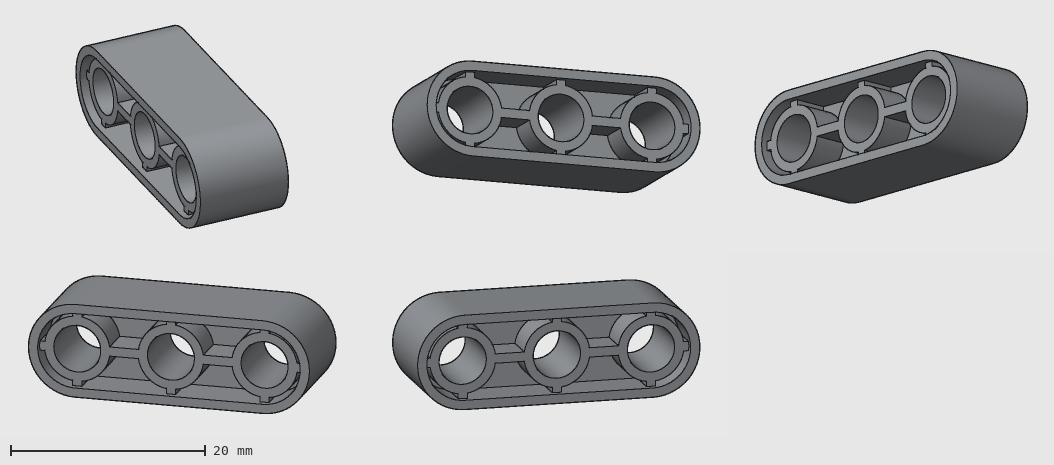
import cadquery as cq

length = 30.0
hole_count = 3
pitch = length / hole_count
width = pitch
depth = pitch
wall = 1.0
rib = 1.0
hole_diameter = 5.0
tube_diameter = 7.0
recess = 0.75
web = 1.0

cavity_length = length - 2 * wall
cavity_width = width - 2 * wall
core_depth = depth - 2 * recess
hole_centers = [((i - (hole_count - 1) / 2) * pitch, 0) for i in range(hole_count)]


def y_prism(sketch, prism_depth):
    """Extrude an XZ sketch along Y, centred on the XZ plane."""
    return sketch.extrude(prism_depth / 2, both=True)


def make_shell():
    """Rounded beam with a matching pocket in each open face, leaving a middle web."""
    beam = y_prism(cq.Workplane("XZ").slot2D(length, width), depth)
    cavity = y_prism(cq.Workplane("XZ").slot2D(cavity_length, cavity_width), depth)
    middle = cq.Workplane("XY").box(length, web, width)
    return beam.cut(cavity.cut(middle))


def make_core():
    """Tubes around the holes, tied to each other and to the wall by ribs."""
    core = y_prism(cq.Workplane("XZ").pushPoints(hole_centers).circle(tube_diameter / 2), core_depth)
    long_rib = y_prism(cq.Workplane("XZ").rect(length - wall, rib), core_depth)
    cross_ribs = y_prism(
        cq.Workplane("XZ").pushPoints(hole_centers).rect(rib, width - wall), core_depth
    )
    return core.union(long_rib).union(cross_ribs)


holes = y_prism(cq.Workplane("XZ").pushPoints(hole_centers).circle(hole_diameter / 2), depth)

result = make_shell().union(make_core()).cut(holes)